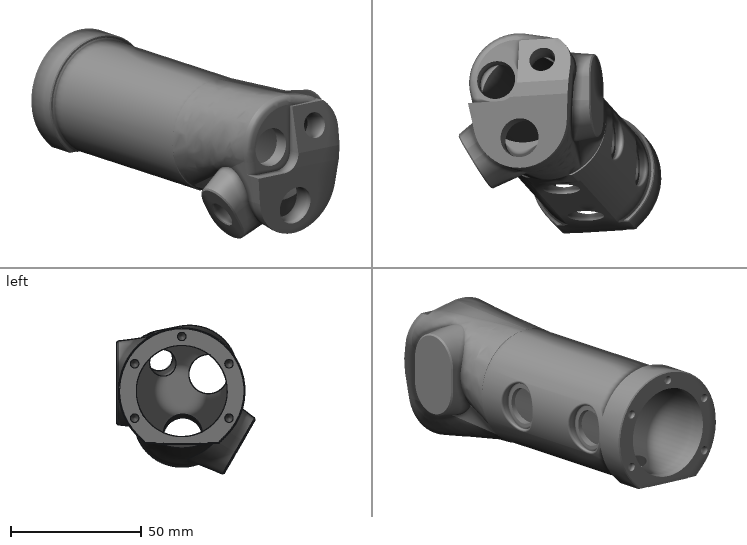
import cadquery as cq
import math

length = 135.0
flange_radius = 24.3
flange_length = 12.0
flange_edge_chamfer = 0.4
flat_depth = 20.1

tube_radius = 22.4
collar_start = 74.8
collar_flat_depth = 20.5
head_start = 84.8
recess_floor = 129.9
root_chamfer = 0.7
head_edge_fillet = 3.4
core_margin = 0.1

bore_diameter = 35.0
bore_depth = 124.2

screw_circle_radius = 20.9
screw_diameter = 3.2
screw_depth = 8.8
screw_angles = (-30, 30, 90, 150, 210)
screw_tip_angle = 118

access_hole_diameter = 14.0
access_hole_places = (23.8, 63.9)
access_seat_diameter = 18.0
access_seat_floor = 19.2
access_seat_rim = 0.7
zone_margin = 0.1

head_start_circles = ((-0.4, 0.4, 22.0), (0.4, 0.4, 22.0), (0.0, 0.1, 22.0))
head_end_circles = ((-3.2, 6.9, 18.6), (7.3, 10.8, 12.7), (0.0, -10.8, 18.5))

upper_slope_start = 3.5
lower_slope_start = -2.0
upper_slope = 12.0
lower_slope = 9.0
recess_side = -0.8
recess_bottom = -3.4
recess_corner_radius = 6.8
block_top = 21.3

round_lens_place = (-10.3, 6.5)
round_lens_diameter = 15.0
lower_lens_place = (-0.4, -16.5)
lower_lens_diameter = 15.0
small_lens_place = (7.3, 10.8)
small_lens_diameter = 10.0
small_lens_swing = 9.0

boss_draft = 8.0
boss_edge_chamfer = 0.5
boss_depth = 16.9
wide_boss_place = (111.0, 25.1, 3.1)
wide_boss_size = (22.7, 32.1)
port_boss_x = 114.8
port_boss_reach = 30.0
port_boss_shift = 7.4
port_boss_tilt = 30.0
port_boss_size = (19.3, 24.7)
port_diameter = 10.0
port_rim = 0.4
port_depth = 24.3


def section(x):
    """Sketch plane across the axis at x, with local axes along Y and Z."""
    return cq.Workplane("YZ", origin=(x, 0, 0))


def tangent_points(first, second):
    """Ends of the tangent that touches two circles on their outer side, going clockwise."""
    dy = second[0] - first[0]
    dz = second[1] - first[1]
    angle = math.atan2(dz, dy) + math.acos((first[2] - second[2]) / math.hypot(dy, dz))
    return [
        (y + radius * math.cos(angle), z + radius * math.sin(angle), angle)
        for y, z, radius in (first, second)
    ]


def rounded_triangle(plane, circles):
    """Outline wrapped tightly around three circles that are listed clockwise."""
    pairs = zip(circles, circles[1:] + circles[:1])
    tangents = [tangent_points(first, second) for first, second in pairs]
    outline = plane.moveTo(*tangents[0][0][:2])
    for index, (start, end) in enumerate(tangents):
        y, z, radius = circles[(index + 1) % len(circles)]
        next_start = tangents[(index + 1) % len(tangents)][0]
        turn = (end[2] - next_start[2]) % (2 * math.pi)
        middle = end[2] - turn / 2
        arc_middle = (y + radius * math.cos(middle), z + radius * math.sin(middle))
        outline = outline.lineTo(*end[:2]).threePointArc(arc_middle, next_start[:2])
    return outline.close()


def make_flange():
    """Round flange whose lower half runs out in 45 degree sides to a flat underside."""
    touch = flange_radius * math.sqrt(0.5)
    flat_half = flange_radius * math.sqrt(2) - flat_depth
    return (
        section(0)
        .moveTo(touch, -touch)
        .threePointArc((0, flange_radius), (-touch, -touch))
        .lineTo(-flat_half, -flat_depth)
        .lineTo(flat_half, -flat_depth)
        .close()
        .extrude(flange_length)
        .faces("<X or >X")
        .chamfer(flange_edge_chamfer)
    )


def flatten(body, depth):
    """Cut a body off flat at the given depth below the axis."""
    below = cq.Workplane("XY").box(3 * length, length, length).translate((0, 0, -depth - length / 2))
    return body.cut(below)


def cut_access_holes(tube):
    """Cut the seated holes in the +Y wall and the plain holes in the bottom wall."""
    places = [(x, 0) for x in access_hole_places]
    side = cq.Workplane("XZ").pushPoints(places)
    seat = cq.Workplane("XZ", origin=(0, access_seat_floor, 0)).pushPoints(places)
    down = cq.Workplane("XY").pushPoints(places)
    tube = tube.cut(seat.circle(access_seat_diameter / 2).extrude(-length))
    rim_zone = cq.selectors.BoxSelector(
        (0, access_seat_floor + zone_margin, -tube_radius),
        (collar_start - zone_margin, tube_radius + zone_margin, tube_radius),
        True,
    )
    tube = tube.edges(rim_zone).fillet(access_seat_rim)
    tube = tube.cut(side.circle(access_hole_diameter / 2).extrude(-length))
    return tube.cut(down.circle(access_hole_diameter / 2).extrude(-length))


def make_tube():
    """Tube body and slightly deeper collar, both with a flat underside."""
    tube = section(0).circle(tube_radius).extrude(collar_start)
    root = (
        section(flange_length)
        .circle(tube_radius + root_chamfer)
        .workplane(offset=root_chamfer)
        .circle(tube_radius)
        .loft()
    )
    collar = section(collar_start).circle(tube_radius).extrude(head_start - collar_start)
    body = cut_access_holes(flatten(tube.union(root), flat_depth))
    return body.union(flatten(collar, collar_flat_depth))


def make_recess():
    """Cutter for the head corner around the round lens and for the strip above the end block."""
    start = recess_floor - 2 * head_edge_fillet
    strip = (
        section(start)
        .moveTo(-length, block_top)
        .rect(2 * length, length, centered=False)
        .extrude(2 * length)
    )
    corner = (
        section(start)
        .moveTo(recess_side, recess_bottom)
        .rect(-length, length, centered=False)
        .extrude(2 * length)
        .edges("|X and >Y and <Z")
        .fillet(recess_corner_radius)
    )
    return corner.union(strip)


def make_end_block():
    """End block with a narrow upright band between two sloping faces."""
    block = rounded_triangle(section(recess_floor), head_end_circles).extrude(length - recess_floor)
    upper_run = length * math.tan(math.radians(upper_slope))
    lower_run = length * math.tan(math.radians(lower_slope))
    keep = (
        cq.Workplane("XZ", origin=(0, length, 0))
        .moveTo(0, length)
        .lineTo(length - upper_run, upper_slope_start + length)
        .lineTo(length, upper_slope_start)
        .lineTo(length, lower_slope_start)
        .lineTo(length - lower_run, lower_slope_start - length)
        .lineTo(0, -length)
        .close()
        .extrude(2 * length)
    )
    return block.intersect(keep)


def make_cone(margin=0.0):
    """Head body spreading from the round tube into a rounded triangle, grown by a margin."""
    near, far = [
        rounded_triangle(section(x), tuple((y, z, radius + margin) for y, z, radius in circles))
        for x, circles in ((head_start, head_start_circles), (recess_floor, head_end_circles))
    ]
    return cq.Workplane(cq.Solid.makeLoft([near.wires().val(), far.wires().val()], True))


def make_head():
    """Head with its end block, cut back to a round-edged core where the recess is."""
    core = make_cone(core_margin).faces(">X").edges().fillet(head_edge_fillet)
    return make_cone().union(make_end_block()).cut(make_recess().cut(core))


def drafted_boss(plane, size):
    """Round-ended boss on its outer face, widening as it runs inward."""
    width, height = size
    boss = plane.slot2D(height, width, 90).extrude(-boss_depth, taper=-boss_draft)
    outer_face = cq.NearestToPointSelector(plane.plane.origin.toTuple())
    return boss.faces(outer_face).chamfer(boss_edge_chamfer)


def port_plane():
    """Outer face of the port boss, with its normal pointing outward."""
    tilt = math.radians(port_boss_tilt)
    outward = (0, -math.cos(tilt), -math.sin(tilt))
    y = port_boss_reach * outward[1] + port_boss_shift * math.sin(tilt)
    z = port_boss_reach * outward[2] - port_boss_shift * math.cos(tilt)
    return cq.Plane(origin=(port_boss_x, y, z), xDir=(1, 0, 0), normal=outward)


def wide_boss_plane():
    """Outer face of the wide boss on the +Y side."""
    return cq.Plane(origin=wide_boss_place, xDir=(-1, 0, 0), normal=(0, 1, 0))


def lens_hole(place, diameter, rise=0.0, swing=0.0):
    """Cutter through the end wall, leaning up by rise and toward +Y by swing degrees."""
    lean = (1, math.tan(math.radians(swing)), math.tan(math.radians(rise)))
    center = cq.Vector(bore_depth, *place)
    axis = cq.Vector(*lean)
    hole = cq.Solid.makeCylinder(diameter / 2, length, center - axis * diameter, axis)
    wall = section(bore_depth).rect(length, length).extrude(2 * length)
    return wall.intersect(cq.Workplane(hole))


def screw_hole(angle):
    """Blind drilled hole with a pointed bottom in the flange face."""
    radius = screw_diameter / 2
    tip = radius / math.tan(math.radians(screw_tip_angle / 2))
    turn = math.radians(angle)
    return (
        cq.Workplane("XY")
        .lineTo(0, radius)
        .lineTo(screw_depth, radius)
        .lineTo(screw_depth + tip, 0)
        .close()
        .revolve(360, (0, 0, 0), (1, 0, 0))
        .translate((0, screw_circle_radius * math.cos(turn), screw_circle_radius * math.sin(turn)))
    )


def rim_cone(plane, radius, rim):
    """Cutter for a 45 degree chamfer around a hole in a flat face."""
    tip_depth = radius + rim
    cone = cq.Solid.makeCone(radius + rim, 0, tip_depth, plane.origin, plane.zDir * -1)
    return cq.Workplane(cone)


result = make_flange().union(make_tube())
result = result.union(make_head())
result = result.union(drafted_boss(cq.Workplane(wide_boss_plane()), wide_boss_size))
result = result.union(drafted_boss(cq.Workplane(port_plane()), port_boss_size))

result = result.cut(section(0).circle(bore_diameter / 2).extrude(bore_depth))
result = result.cut(lens_hole(round_lens_place, round_lens_diameter))
result = result.cut(lens_hole(lower_lens_place, lower_lens_diameter, rise=-lower_slope))
result = result.cut(
    lens_hole(small_lens_place, small_lens_diameter, upper_slope, small_lens_swing)
)

result = result.cut(cq.Workplane(port_plane()).circle(port_diameter / 2).extrude(-port_depth))
result = result.cut(rim_cone(port_plane(), port_diameter / 2, port_rim))
for angle in screw_angles:
    result = result.cut(screw_hole(angle))